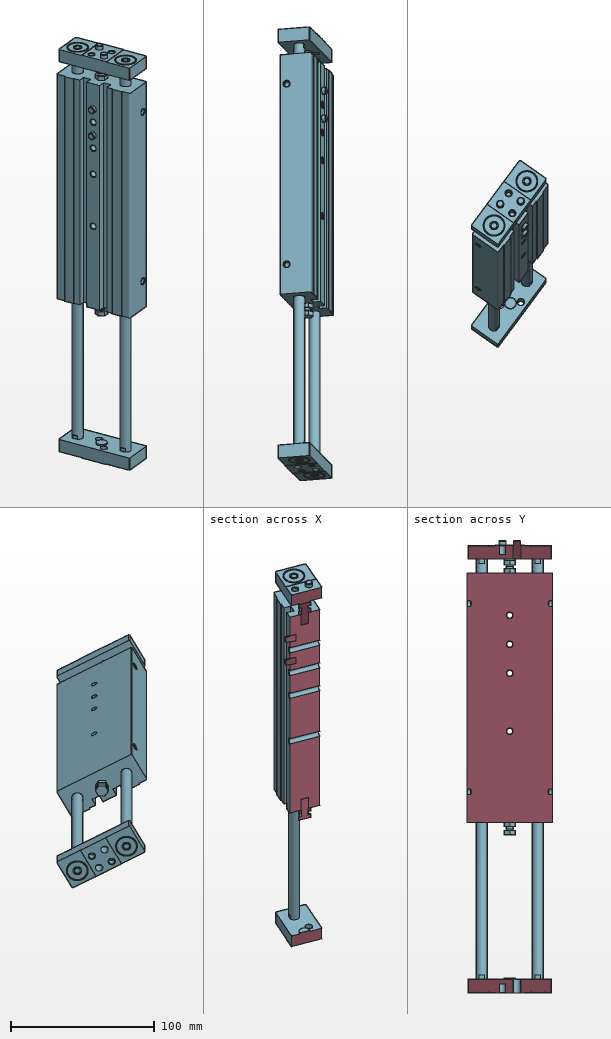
import cadquery as cq
import math

total_height = 315.5
sides = (-1, 1)

rod_diameter = 8.0
rod_x = 19.5
rod_flat_across = 7.0
rod_flat_length = 2.8

plate_width = 58.0
plate_back_y = 13.0
plate_front_y = -10.0
plate_thickness = 9.5
plate_corner = 0.5
band_width = 20.2
band_height = 0.3
pad_diameter = 8.0
pad_height = 1.0
ring_outer_diameter = 15.0
ring_inner_diameter = 14.0
ring_depth = 0.3
socket_outer_diameter = 6.0
socket_inner_diameter = 4.0
socket_depth = 0.3

port_diameter = 4.0
port_mouth_diameter = 5.0
port_pitch_x = 10.0
port_pitch_y = 10.5
blind_port_depth = 6.3

housing_width = 60.0
housing_bottom_z = 119.0
housing_height = 174.2
housing_back_y = 11.5
housing_front_y = -11.7
front_corner_radius = 1.0
back_chamfer = 0.5
strip_width = 7.5
strip_height = 0.5
ridge_width = 10.7
ridge_setback = 0.3
slot_width = 5.7
slot_depth = 5.7
front_hole_inset = 19.5
front_hole_pitch = 10.0
plug_steps = (0, 2)
through_hole_steps = (1, 3, 5, 9)
side_hole_y = 6.3
side_hole_inset = 21.5
side_hole_depth = 2.5
side_hole_point = 1.3

plug_diameter = 5.0
plug_chamfer = 0.47
front_plug_height = 2.8
front_plug_depth = 4.7
end_plug_height = 3.5

bolt_diameter = 5.0
bolt_depth = 9.5
neck_diameter = 4.7
neck_length = 1.0
hex_across_flats = 8.0
nut_height = 2.8
head_height = 3.0
stopper_length = 8.5

plate_depth = plate_back_y - plate_front_y
plate_centre_y = (plate_back_y + plate_front_y) / 2
lower_inner_z = band_height + plate_thickness
upper_inner_z = total_height - end_plug_height - plate_thickness
upper_outer_z = upper_inner_z + plate_thickness
housing_top_z = housing_bottom_z + housing_height
ridge_y = housing_front_y + ridge_setback
port_x = port_pitch_x / 2
port_y = port_pitch_y / 2
mouth_depth = (port_mouth_diameter - port_diameter) / 2


def z_cylinder(x, y, z, diameter, height):
    """Cylinder along Z from height z; a negative height runs downwards."""
    return cq.Workplane("XY", origin=(x, y, z)).circle(diameter / 2).extrude(height)


def port_cutter(depth, point=0.0):
    """Round hole along -Z from the origin, with a chamfered mouth and an optional conical bottom."""
    mouth_radius = port_mouth_diameter / 2
    radius = port_diameter / 2
    half_section = (
        cq.Workplane("XZ")
        .moveTo(0, 0)
        .lineTo(mouth_radius, 0)
        .lineTo(radius, -mouth_depth)
        .lineTo(radius, -depth)
        .lineTo(0, -depth - point)
        .close()
    )
    return half_section.revolve(360, (0, 0, 0), (0, 1, 0))


def front_feature_z(step):
    """Height of a hole or plug in the front ridge, counted in pitches below the topmost plug."""
    return housing_top_z - front_hole_inset - step * front_hole_pitch


def ring_groove(outer_diameter, inner_diameter, depth):
    """Cutter for a ring groove that goes down from the XY plane."""
    return cq.Workplane("XY").circle(outer_diameter / 2).circle(inner_diameter / 2).extrude(-depth)


def end_plate():
    """Plate with its outer face up, on the plane Z = 0."""
    plate = (
        cq.Workplane("XY", origin=(0, plate_centre_y, 0))
        .rect(plate_width, plate_depth)
        .extrude(-plate_thickness)
        .edges("|Z")
        .chamfer(plate_corner)
    )
    band = (
        cq.Workplane("XY", origin=(0, plate_centre_y, 0))
        .rect(band_width, plate_depth)
        .extrude(band_height)
    )
    pad = z_cylinder(0, 0, -plate_thickness, pad_diameter, -pad_height)
    plate = plate.union(band).union(pad)

    for side in sides:
        for groove in (
            ring_groove(ring_outer_diameter, ring_inner_diameter, ring_depth),
            ring_groove(socket_outer_diameter, socket_inner_diameter, socket_depth),
        ):
            plate = plate.cut(groove.translate((side * rod_x, 0, 0)))

    for side in sides:
        through_port = z_cylinder(side * port_x, -side * port_y, band_height, plug_diameter,
                                  -plate_thickness - band_height)
        blind_port = port_cutter(blind_port_depth).translate((side * port_x, side * port_y, band_height))
        plate = plate.cut(through_port).cut(blind_port)
    return plate


def guide_rod(x):
    """Rod between the plates, with two wrench flats at each end."""
    length = upper_inner_z - lower_inner_z
    rod = z_cylinder(x, 0, lower_inner_z, rod_diameter, length)
    for end_z in (lower_inner_z, upper_inner_z - rod_flat_length):
        for side in sides:
            flat_cutter = (
                cq.Workplane("XY", origin=(x, side * rod_flat_across, end_z))
                .rect(2 * rod_diameter, rod_flat_across)
                .extrude(rod_flat_length)
            )
            rod = rod.cut(flat_cutter)
    return rod


def make_rod_frame():
    """Both end plates and both rods, which move as one body."""
    plate = end_plate()
    frame = plate.translate((0, 0, upper_outer_z))
    frame = frame.union(plate.mirror("XY").translate((0, 0, band_height)))
    for side in sides:
        frame = frame.union(guide_rod(side * rod_x))
    return frame


def hexagon(z, height):
    """Hexagonal prism along Z with two faces square to X."""
    across_corners = hex_across_flats / math.cos(math.pi / 6)
    prism = cq.Workplane("XY", origin=(0, 0, z)).polygon(6, across_corners).extrude(height)
    return prism.rotate((0, 0, 0), (0, 0, 1), 90)


def bolt_hole():
    """Space for the bolt shank inside the housing, below the plane Z = 0."""
    return z_cylinder(0, 0, 0, bolt_diameter, -bolt_depth)


def stopper_bolt():
    """Bolt that rises from the plane Z = 0, with a short neck under its head."""
    head_z = stopper_length - head_height
    neck_z = head_z - neck_length
    shank = z_cylinder(0, 0, -bolt_depth, bolt_diameter, bolt_depth + neck_z)
    neck = z_cylinder(0, 0, neck_z, neck_diameter, neck_length)
    return shank.union(neck).union(hexagon(head_z, head_height))


def stopper_nut():
    """Lock nut that stands on the plane Z = 0."""
    return hexagon(0, nut_height).cut(z_cylinder(0, 0, 0, bolt_diameter, nut_height))


def on_both_ends(shape):
    """Two copies of a shape: on the housing top, and mirrored on the housing bottom."""
    return [
        shape.translate((0, 0, housing_top_z)),
        shape.mirror("XY").translate((0, 0, housing_bottom_z)),
    ]


def plug(height, depth):
    """Plug along Z that stands out of the plane Z = 0 by height and goes in by depth."""
    return z_cylinder(0, 0, -depth, plug_diameter, height + depth).faces(">Z").chamfer(plug_chamfer)


def front_plug(step):
    """Plug in the front ridge of the housing."""
    turned = plug(front_plug_height, front_plug_depth).rotate((0, 0, 0), (1, 0, 0), 90)
    return turned.translate((0, ridge_y, front_feature_z(step)))


def end_plug(side):
    """Plug that fills a through port of the upper plate."""
    return plug(end_plug_height, plate_thickness).translate((side * port_x, -side * port_y, upper_outer_z))


def housing_profile():
    """Outline with a central ridge, a slot on each side of it and a raised strip before each rod."""
    half_width = housing_width / 2
    low_y = housing_front_y + strip_height
    slot_inner_x = ridge_width / 2
    slot_outer_x = slot_inner_x + slot_width
    strip_inner_x = rod_x - strip_width / 2
    strip_outer_x = rod_x + strip_width / 2
    right_half = [
        (slot_inner_x, ridge_y),
        (slot_inner_x, housing_front_y + slot_depth),
        (slot_outer_x, housing_front_y + slot_depth),
        (slot_outer_x, low_y),
        (strip_inner_x, low_y),
        (strip_inner_x, housing_front_y),
        (strip_outer_x, housing_front_y),
        (strip_outer_x, low_y),
        (half_width, low_y),
        (half_width, housing_back_y - back_chamfer),
        (half_width - back_chamfer, housing_back_y),
    ]
    left_half = [(-x, y) for x, y in reversed(right_half)]
    return right_half + left_half


def make_housing():
    """Extruded housing with its rod bores, bolt holes, front holes and side holes."""
    housing = (
        cq.Workplane("XY", origin=(0, 0, housing_bottom_z))
        .polyline(housing_profile())
        .close()
        .extrude(housing_height)
        .faces("<X or >X")
        .edges("|Z and <Y")
        .fillet(front_corner_radius)
    )
    for side in sides:
        housing = housing.cut(z_cylinder(side * rod_x, 0, housing_bottom_z, rod_diameter, housing_height))
    for hole in on_both_ends(bolt_hole()):
        housing = housing.cut(hole)

    front_hole = port_cutter(housing_back_y - ridge_y).rotate((0, 0, 0), (1, 0, 0), 90)
    for step in through_hole_steps:
        housing = housing.cut(front_hole.translate((0, ridge_y, front_feature_z(step))))
    for step in plug_steps:
        housing = housing.cut(front_plug(step))

    side_hole = port_cutter(side_hole_depth, side_hole_point)
    for side in sides:
        turned_hole = side_hole.rotate((0, 0, 0), (0, 1, 0), side * 90)
        for z in (housing_bottom_z + side_hole_inset, housing_top_z - side_hole_inset):
            housing = housing.cut(turned_hole.translate((side * housing_width / 2, side_hole_y, z)))
    return housing


housing = make_housing()
rod_frame = make_rod_frame()
bolts = on_both_ends(stopper_bolt())
nuts = on_both_ends(stopper_nut())
front_plugs = [front_plug(step) for step in plug_steps]
end_plugs = [end_plug(side) for side in sides]

separate_parts = [housing, rod_frame, *bolts, *nuts, *front_plugs, *end_plugs]
result = cq.Compound.makeCompound([part.val() for part in separate_parts])